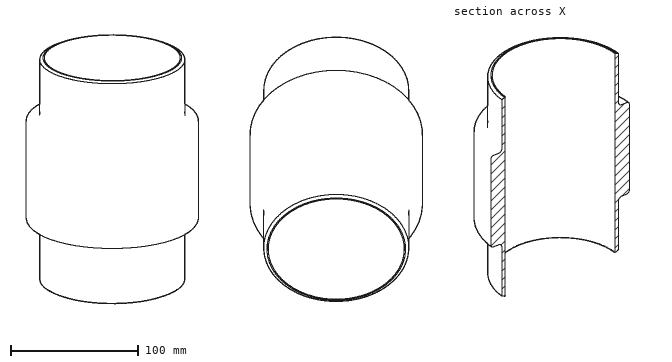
import cadquery as cq

length = 186.0
pipe_diameter = 114.4
bore_diameter = 107.1
sleeve_diameter = 136.0
sleeve_length = 86.0
sleeve_edge_radius = 3.0
sleeve_root_radius = 3.0

bevel_height = 1.3
bevel_width = 2.6

pipe_radius = pipe_diameter / 2
half_length = length / 2


def centred_cylinder(diameter, height):
    """Cylinder along Z, centred on the origin."""
    return cq.Workplane("XY").cylinder(height, diameter / 2)


def bevelled_pipe():
    """Solid pipe blank with a shallow bevel at both ends, revolved about Z."""
    end_radius = pipe_radius - bevel_width
    bevel_start = half_length - bevel_height
    section = (
        cq.Workplane("XZ")
        .moveTo(0, -half_length)
        .lineTo(end_radius, -half_length)
        .lineTo(pipe_radius, -bevel_start)
        .lineTo(pipe_radius, bevel_start)
        .lineTo(end_radius, half_length)
        .lineTo(0, half_length)
        .close()
    )
    return section.revolve(360, (0, 0, 0), (0, 1, 0))


def sleeve_roots():
    """Selector for the two circles where the pipe leaves the end faces of the sleeve."""
    margin = 0.2
    reach = pipe_radius + margin
    top = sleeve_length / 2 + margin
    return cq.selectors.BoxSelector((-reach, -reach, -top), (reach, reach, top), boundingbox=True)


sleeve = centred_cylinder(sleeve_diameter, sleeve_length).faces("|Z").edges().fillet(sleeve_edge_radius)

body = bevelled_pipe().union(sleeve)
body = body.edges(sleeve_roots()).fillet(sleeve_root_radius)

result = body.cut(centred_cylinder(bore_diameter, length))